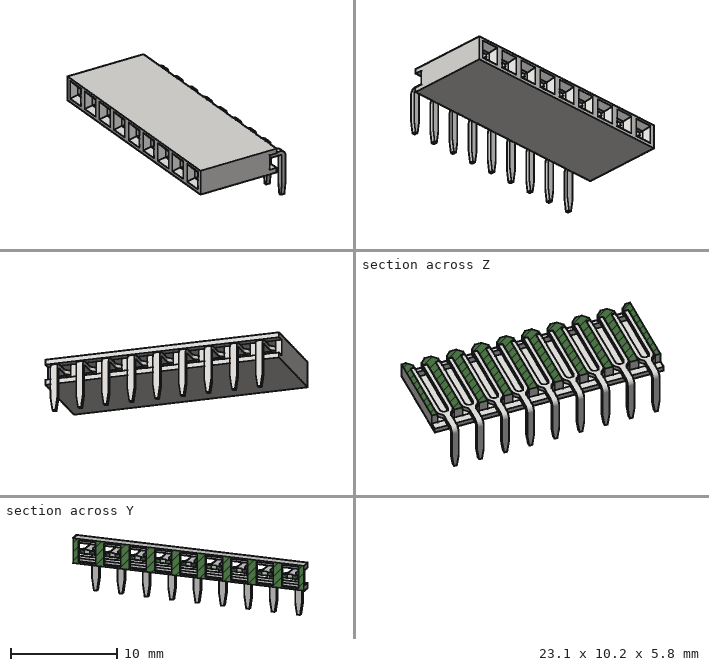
import cadquery as cq
import math


contact_count = 9
housing_length = 23.15
end_margin = 1.41
pitch = (housing_length - 2 * end_margin) / (contact_count - 1)

housing_depth = 8.5
housing_height = 2.52
slot_depth = 0.76
slot_height = 1.53
slot_floor_y = housing_depth - slot_depth

mouth_width = 1.88
mouth_lift = 0.05
entry_width = 0.83
funnel_depth = 0.53
front_wall = 0.93
cavity_height = 2.08

contact_thickness = 0.42
stem_width = 0.67
total_depth = 10.2
total_height = 5.8
bend_inner_radius = 0.12
bend_outer_radius = 0.6
tip_width = 0.3
tip_length = 1.25

fork_inner_radius = 0.42
arm_thickness = 0.42
fork_outer_radius = fork_inner_radius + arm_thickness
neck_radius = 0.42
neck_start_y = 8.2

stem_half = stem_width / 2
half_thickness = contact_thickness / 2
leg_tip_z = housing_height / 2 - total_height
tip_start_z = leg_tip_z + tip_length

contact_positions = [(i - (contact_count - 1) / 2) * pitch for i in range(contact_count)]


def centred_box(width, height, y_start, y_end):
    """Box centred on X and Z that runs from y_start to y_end."""
    length = y_end - y_start
    return cq.Workplane("XY").box(width, length, height).translate((0, y_start + length / 2, 0))


def make_contact_passage():
    """Everything removed from the housing for one contact."""
    funnel = (
        cq.Workplane("XZ")
        .center(0, mouth_lift)
        .rect(mouth_width, mouth_width)
        .workplane(offset=-funnel_depth)
        .center(0, -mouth_lift)
        .rect(entry_width, entry_width)
        .loft(ruled=True)
    )
    entry_hole = centred_box(entry_width, entry_width, funnel_depth, front_wall)
    cavity = centred_box(2 * fork_outer_radius, cavity_height, front_wall, slot_floor_y)
    return funnel.union(entry_hole).union(cavity)


def make_housing():
    body = centred_box(housing_length, housing_height, 0, housing_depth)
    body = body.cut(centred_box(housing_length, slot_height, slot_floor_y, housing_depth))
    passage = make_contact_passage()
    for x in contact_positions:
        body = body.cut(passage.translate((x, 0, 0)))
    return body


def make_side_strip():
    """Stem, bend and leg as a bent strip of even width."""
    back_y = total_depth
    front_of_leg_y = total_depth - contact_thickness
    outer_y = back_y - bend_outer_radius
    outer_z = half_thickness - bend_outer_radius
    inner_y = front_of_leg_y - bend_inner_radius
    inner_z = -half_thickness - bend_inner_radius
    diagonal = math.sqrt(0.5)
    return (
        cq.Workplane("YZ")
        .moveTo(neck_start_y, half_thickness)
        .lineTo(outer_y, half_thickness)
        .threePointArc(
            (outer_y + bend_outer_radius * diagonal, outer_z + bend_outer_radius * diagonal),
            (back_y, outer_z),
        )
        .lineTo(back_y, leg_tip_z)
        .lineTo(front_of_leg_y, leg_tip_z)
        .lineTo(front_of_leg_y, inner_z)
        .threePointArc(
            (inner_y + bend_inner_radius * diagonal, inner_z + bend_inner_radius * diagonal),
            (inner_y, -half_thickness),
        )
        .lineTo(neck_start_y, -half_thickness)
        .close()
        .extrude(stem_half, both=True)
    )


def make_leg_outline():
    """Prism that limits the strip to the tapered leg width."""
    return (
        cq.Workplane("XZ")
        .polyline([
            (-stem_half, half_thickness),
            (stem_half, half_thickness),
            (stem_half, tip_start_z),
            (tip_width / 2, leg_tip_z),
            (-tip_width / 2, leg_tip_z),
            (-stem_half, tip_start_z),
        ])
        .close()
        .extrude(-total_depth)
    )


def make_fork():
    """Flat U-shaped fork whose round base flows into the stem through two fillets."""
    neck_x = stem_half + neck_radius
    centre_distance = fork_outer_radius + neck_radius
    neck_angle = math.acos(neck_x / centre_distance)
    fork_y = neck_start_y - centre_distance * math.sin(neck_angle)

    def on_outside(angle):
        return fork_outer_radius * math.cos(angle), fork_y + fork_outer_radius * math.sin(angle)

    def on_neck(angle):
        return neck_x - neck_radius * math.cos(angle), neck_start_y - neck_radius * math.sin(angle)

    def mirrored(point):
        return -point[0], point[1]

    return (
        cq.Workplane("XY")
        .workplane(offset=-half_thickness)
        .moveTo(fork_outer_radius, front_wall)
        .lineTo(fork_outer_radius, fork_y)
        .threePointArc(on_outside(neck_angle / 2), on_outside(neck_angle))
        .threePointArc(on_neck(neck_angle / 2), on_neck(0))
        .lineTo(*mirrored(on_neck(0)))
        .threePointArc(mirrored(on_neck(neck_angle / 2)), mirrored(on_neck(neck_angle)))
        .threePointArc(mirrored(on_outside(neck_angle / 2)), mirrored(on_outside(0)))
        .lineTo(-fork_outer_radius, front_wall)
        .lineTo(-fork_inner_radius, front_wall)
        .lineTo(-fork_inner_radius, fork_y)
        .threePointArc((0, fork_y + fork_inner_radius), (fork_inner_radius, fork_y))
        .lineTo(fork_inner_radius, front_wall)
        .close()
        .extrude(contact_thickness)
    )


def make_contact():
    bent_strip = make_side_strip().intersect(make_leg_outline())
    return bent_strip.union(make_fork())


housing = make_housing()
contact = make_contact()
contacts = [contact.translate((x, 0, 0)) for x in contact_positions]

result = cq.Compound.makeCompound([housing.val(), *[c.val() for c in contacts]])